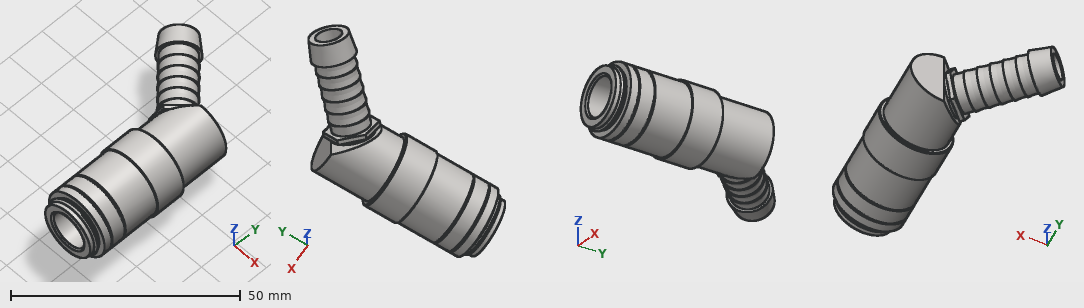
import cadquery as cq
import math

ORIGIN = cq.Vector(0, 0, 0)
Y_DIRECTION = cq.Vector(0, 1, 0)

NOSE_RADIUS = 7.0
BEAD_RADIUS = 0.5
BEAD_Y = 1.75
SLEEVE_RADIUS = 8.65
SLEEVE_START = 2.8
GROOVE_STARTS = (4.95, 8.95)
GROOVE_WIDTH = 0.3
GROOVE_DEPTH = 0.35
COLLAR_RADIUS = 9.0
COLLAR_START = 18.75
COLLAR_LENGTH = 8.0
COLLAR_CHAMFER = 0.2
SHANK_RADIUS = 8.0
BODY_LENGTH = 40.5

MOUTH_RADIUS = 4.75
MOUTH_CHAMFER = 0.45
MOUTH_DEPTH = COLLAR_START
PASSAGE_RADIUS = 3.5
PASSAGE_DEPTH = 37.4

STEM_ANGLE = 45.0
STEM_AXIS_Y = 33.5
STEM_BORE_RADIUS = 3.0
STEM_NECK_RADIUS = 5.0
STEM_CORE_RADIUS = 4.45
FACE_TO_TIP = 24.5
FLANGE_GAP = 0.8
FLANGE_THICKNESS = 1.1
FLANGE_ACROSS_FLATS = 11.0
RIDGE_RADIUS = 4.65
RIDGE_COUNT = 5
RIDGE_PITCH = 3.0
RIDGE_LENGTH = 1.5
RIDGE_START = 4.4
BARB_RADIUS = 5.15
TIP_RADIUS = 4.55
BARB_START = RIDGE_START + RIDGE_COUNT * RIDGE_PITCH

STEM_ANGLE_RAD = math.radians(STEM_ANGLE)

FACE_OFFSET = (BODY_LENGTH - STEM_AXIS_Y) * math.cos(STEM_ANGLE_RAD)
FLANGE_START = FACE_OFFSET + FLANGE_GAP
FLANGE_END = FLANGE_START + FLANGE_THICKNESS
STEM_LENGTH = FACE_OFFSET + FACE_TO_TIP

STEM_DIRECTION = cq.Vector(-math.sin(STEM_ANGLE_RAD), math.cos(STEM_ANGLE_RAD), 0)
STEM_PLANE = cq.Plane(origin=(0, STEM_AXIS_Y, 0), xDir=(0, 0, 1), normal=STEM_DIRECTION.toTuple())


def cylinder_along_y(radius, start, end):
    return cq.Workplane("XZ", origin=(0, start, 0)).circle(radius).extrude(start - end)


def stem_cylinder(radius, start, end):
    return cq.Workplane(STEM_PLANE).workplane(offset=start).circle(radius).extrude(end - start)


def stem_cone(start, end, start_radius, end_radius):
    base = STEM_PLANE.toWorldCoords((0, 0, start))
    return cq.Workplane(cq.Solid.makeCone(start_radius, end_radius, end - start, base, STEM_DIRECTION))


def make_body():
    collar_end = COLLAR_START + COLLAR_LENGTH
    collar = cylinder_along_y(COLLAR_RADIUS, COLLAR_START, collar_end)
    collar = collar.faces(">Y").chamfer(COLLAR_CHAMFER)
    bead_centre = cq.Vector(0, BEAD_Y, 0)
    bead = cq.Workplane(cq.Solid.makeTorus(NOSE_RADIUS, BEAD_RADIUS, bead_centre, Y_DIRECTION))
    sleeve = cylinder_along_y(SLEEVE_RADIUS, SLEEVE_START, COLLAR_START)
    for start in GROOVE_STARTS:
        end = start + GROOVE_WIDTH
        ring = cylinder_along_y(COLLAR_RADIUS, start, end)
        ring = ring.cut(cylinder_along_y(SLEEVE_RADIUS - GROOVE_DEPTH, start, end))
        sleeve = sleeve.cut(ring)
    nose = cylinder_along_y(NOSE_RADIUS, 0, SLEEVE_START)
    shank = cut_mitre(cylinder_along_y(SHANK_RADIUS, collar_end, BODY_LENGTH))
    return nose.union(bead).union(sleeve).union(collar).union(shank)


def cut_mitre(shank):
    size = 2 * BODY_LENGTH
    waste = cq.Workplane(STEM_PLANE).workplane(offset=FACE_OFFSET).rect(size, size).extrude(size)
    return shank.cut(waste)


def make_stem():
    stem = stem_cylinder(STEM_NECK_RADIUS, 0, FLANGE_END)
    stem = stem.union(stem_cylinder(STEM_CORE_RADIUS, 0, STEM_LENGTH))
    across_corners = FLANGE_ACROSS_FLATS / math.cos(math.radians(30))
    flange = (
        cq.Workplane(STEM_PLANE)
        .workplane(offset=FLANGE_START)
        .transformed(rotate=(0, 0, 90))
        .polygon(6, across_corners)
        .extrude(FLANGE_THICKNESS)
    )
    stem = stem.union(flange)
    for index in range(RIDGE_COUNT):
        start = FACE_OFFSET + RIDGE_START + index * RIDGE_PITCH
        stem = stem.union(stem_cone(start, start + RIDGE_LENGTH, RIDGE_RADIUS, STEM_CORE_RADIUS))
    barb = stem_cone(FACE_OFFSET + BARB_START, STEM_LENGTH, BARB_RADIUS, TIP_RADIUS)
    return stem.union(barb)


def cut_bores(part):
    mouth = cylinder_along_y(MOUTH_RADIUS, 0, MOUTH_DEPTH)
    countersink = cq.Workplane(
        cq.Solid.makeCone(MOUTH_RADIUS + MOUTH_CHAMFER, MOUTH_RADIUS, MOUTH_CHAMFER, ORIGIN, Y_DIRECTION)
    )
    passage = cylinder_along_y(PASSAGE_RADIUS, 0, PASSAGE_DEPTH)
    stem_bore = stem_cylinder(STEM_BORE_RADIUS, 0, STEM_LENGTH)
    return part.cut(mouth).cut(countersink).cut(passage).cut(stem_bore)


result = cut_bores(make_body().union(make_stem()))